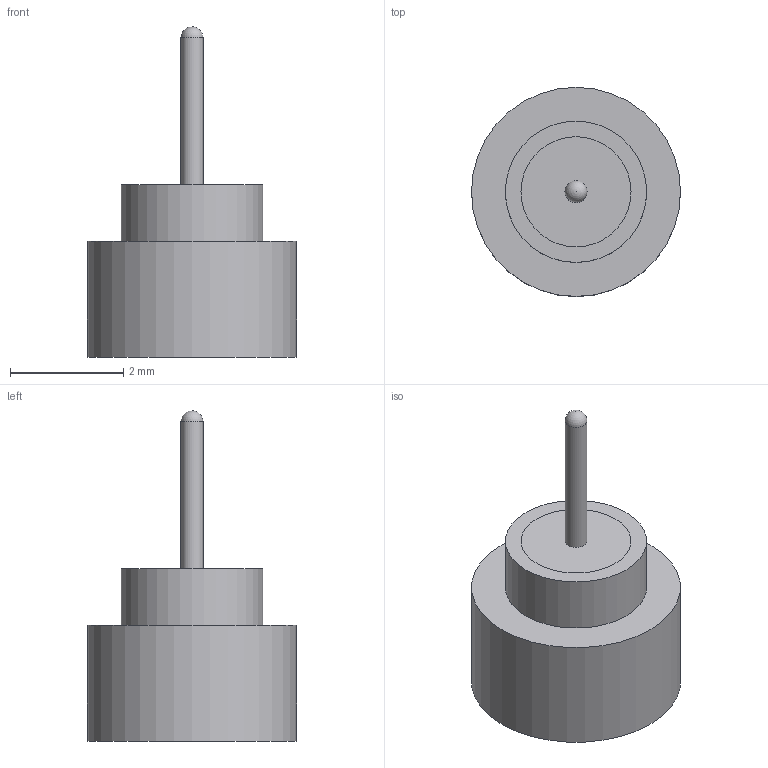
import cadquery as cq

base_diameter = 3.7
base_height = 2.05
collar_diameter = 2.5
collar_height = 1.0
insert_diameter = 1.95
pin_diameter = 0.39
total_height = 5.85

collar_top = base_height + collar_height
pin_radius = pin_diameter / 2
dome_start = total_height - pin_radius


def cylinder(diameter, bottom, top):
    """Upright cylinder on the Z axis between two levels."""
    return cq.Workplane("XY").workplane(offset=bottom).circle(diameter / 2).extrude(top - bottom)


def make_shell():
    """Stepped base and collar, with the collar bored to receive the insert."""
    base = cylinder(base_diameter, 0, base_height)
    collar = cylinder(collar_diameter, base_height, collar_top)
    bore = cylinder(insert_diameter, base_height, collar_top)
    return base.union(collar).cut(bore)


def make_insert():
    """Disc filling the collar bore, flush with the collar top."""
    return cylinder(insert_diameter, base_height, collar_top)


def make_pin():
    """Round pin standing on the insert, ending in a hemisphere."""
    shank = cylinder(pin_diameter, collar_top, dome_start)
    tip = cq.Workplane("XY").sphere(pin_radius).translate((0, 0, dome_start))
    return shank.union(tip)


body = make_shell().union(make_insert(), clean=False)
result = body.union(make_pin(), clean=False)